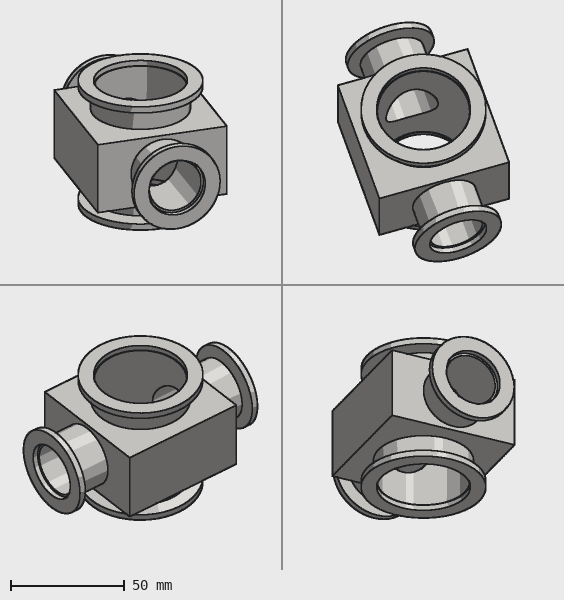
import cadquery as cq
import math

block_width = 60.0
block_height = 33.0

x_length = 100.0
x_flange_diameter = 40.0
x_tube_diameter = 29.2
x_bore_diameter = 24.0
x_recess_diameter = 26.2
x_recess_depth = 2.6

z_length = 60.0
z_flange_diameter = 55.0
z_tube_diameter = 44.1
z_bore_diameter = 40.6
z_recess_diameter = 41.2
z_recess_depth = 2.6

rim_thickness = 3.0
taper_angle = 15.0


def flanged_tube(length, flange_diameter, tube_diameter):
    """Solid tube along Z, centred on the origin, with a tapered flange at each end."""
    end = length / 2
    flange_radius = flange_diameter / 2
    tube_radius = tube_diameter / 2
    rim_back = end - rim_thickness
    taper_back = rim_back - (flange_radius - tube_radius) * math.tan(math.radians(taper_angle))
    return (
        cq.Workplane("XZ")
        .moveTo(0, -end)
        .lineTo(flange_radius, -end)
        .lineTo(flange_radius, -rim_back)
        .lineTo(tube_radius, -taper_back)
        .lineTo(tube_radius, taper_back)
        .lineTo(flange_radius, rim_back)
        .lineTo(flange_radius, end)
        .lineTo(0, end)
        .close()
        .revolve(360, (0, 0, 0), (0, 1, 0))
    )


def recessed_bore(length, bore_diameter, recess_diameter, recess_depth):
    """Through bore along Z with a centring recess at each end, as a cutting solid."""
    bore = cq.Workplane("XY").circle(bore_diameter / 2).extrude(length / 2, both=True)
    for bottom in (-length / 2, length / 2 - recess_depth):
        recess = cq.Workplane("XY").workplane(offset=bottom).circle(recess_diameter / 2).extrude(recess_depth)
        bore = bore.union(recess)
    return bore


def along_x(body):
    """Turn a body lying along Z so that it lies along X."""
    return body.rotate((0, 0, 0), (0, 1, 0), 90)


block = cq.Workplane("XY").box(block_width, block_width, block_height)
x_tube = along_x(flanged_tube(x_length, x_flange_diameter, x_tube_diameter))
z_tube = flanged_tube(z_length, z_flange_diameter, z_tube_diameter)
x_bore = along_x(recessed_bore(x_length, x_bore_diameter, x_recess_diameter, x_recess_depth))
z_bore = recessed_bore(z_length, z_bore_diameter, z_recess_diameter, z_recess_depth)

result = block.union(x_tube).union(z_tube).cut(x_bore).cut(z_bore)